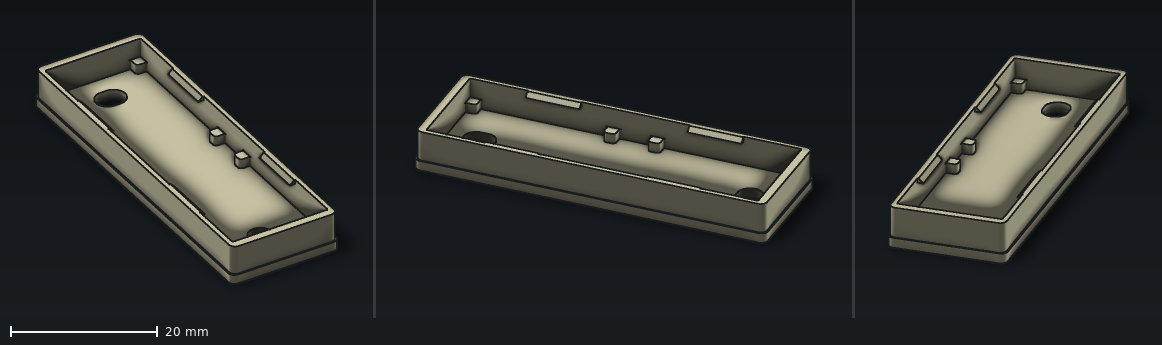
import cadquery as cq

LENGTH = 52.2
WIDTH = 17.2
HEIGHT = 6.0
FLANGE_HEIGHT = 1.5
FLANGE_STEP = 0.2
CORNER_RADIUS = 1.0

CAVITY_LENGTH = 49.15
CAVITY_WIDTH = 15.25
FLOOR_THICKNESS = 1.5
INSIDE_RADIUS = 0.2

PEG_HEIGHT = 1.5
PEG_REACH = 1.6
PEG_WIDTH = 1.8
PEG_RADIUS = 0.5
PEG_OFFSET = 3.3

CLIP_LENGTH = 8.0
CLIP_OFFSET = 12.0
CLIP_REACH = 0.85
CLIP_TOP_LAND = 0.15
CLIP_WALL_OVERLAP = 0.25

SLOT_LENGTH = 4.65
SLOT_WIDTH = 3.65
SLOT_OFFSET = 19.95


def block(length, width, height, bottom=0.0):
    """Block centred on the Z axis, standing on the given level."""
    return cq.Workplane("XY").workplane(offset=bottom).rect(length, width).extrude(height)


def make_solid_tray():
    """Rounded body with a slightly wider flange around its foot."""
    flange = block(LENGTH, WIDTH, FLANGE_HEIGHT)
    body = block(LENGTH - 2 * FLANGE_STEP, WIDTH - 2 * FLANGE_STEP, HEIGHT)
    return flange.edges("|Z").fillet(CORNER_RADIUS).union(body.edges("|Z").fillet(CORNER_RADIUS))


def make_upper_cavity():
    """Plain part of the cavity, above the pegs."""
    bottom = FLOOR_THICKNESS + PEG_HEIGHT
    cavity = block(CAVITY_LENGTH, CAVITY_WIDTH, HEIGHT - bottom, bottom)
    return cavity.edges("|Z").fillet(INSIDE_RADIUS)


def make_lower_cavity():
    """Floor layer of the cavity, leaving four corner pegs and four middle pegs standing."""
    cavity = block(CAVITY_LENGTH, CAVITY_WIDTH, PEG_HEIGHT, FLOOR_THICKNESS)
    middle_peg = block(PEG_WIDTH, 2 * PEG_REACH, PEG_HEIGHT, FLOOR_THICKNESS)
    corner_peg = block(2 * PEG_REACH, 2 * PEG_REACH, PEG_HEIGHT, FLOOR_THICKNESS)
    for x_side in (-1, 1):
        for y_side in (-1, 1):
            wall_y = y_side * CAVITY_WIDTH / 2
            cavity = cavity.cut(middle_peg.translate((x_side * PEG_OFFSET, wall_y, 0)))
            cavity = cavity.cut(corner_peg.translate((x_side * CAVITY_LENGTH / 2, wall_y, 0)))

    inner_x = (CAVITY_LENGTH - PEG_REACH) / 2
    inner_y = (CAVITY_WIDTH - PEG_REACH) / 2
    clear_of_walls = cq.selectors.BoxSelector((-inner_x, -inner_y, 0), (inner_x, inner_y, HEIGHT))
    vertical = cq.selectors.ParallelDirSelector(cq.Vector(0, 0, 1))
    cavity = cavity.edges(vertical & clear_of_walls).fillet(PEG_RADIUS)
    return cavity.edges(vertical - clear_of_walls).fillet(INSIDE_RADIUS)


def make_clip():
    """Wedge along the +Y wall: narrow land at the rim, 45 degree lead-in, flat underside."""
    wall_y = CAVITY_WIDTH / 2
    root_y = wall_y + CLIP_WALL_OVERLAP
    tip_z = HEIGHT - (CLIP_REACH - CLIP_TOP_LAND)
    profile = [
        (root_y, HEIGHT),
        (wall_y - CLIP_TOP_LAND, HEIGHT),
        (wall_y - CLIP_REACH, tip_z),
        (root_y, tip_z),
    ]
    return (
        cq.Workplane("YZ")
        .workplane(offset=CLIP_OFFSET - CLIP_LENGTH / 2)
        .polyline(profile)
        .close()
        .extrude(CLIP_LENGTH)
    )


def make_slot(x, angle):
    """Cutter through the floor for a round-ended mounting slot."""
    return cq.Workplane("XY").center(x, 0).slot2D(SLOT_LENGTH, SLOT_WIDTH, angle).extrude(FLOOR_THICKNESS)


result = make_solid_tray().cut(make_upper_cavity()).cut(make_lower_cavity())

clip_pair = make_clip().union(make_clip().mirror("YZ"))
result = result.union(clip_pair).union(clip_pair.mirror("XZ"))

result = result.cut(make_slot(-SLOT_OFFSET, 90)).cut(make_slot(SLOT_OFFSET, 0))